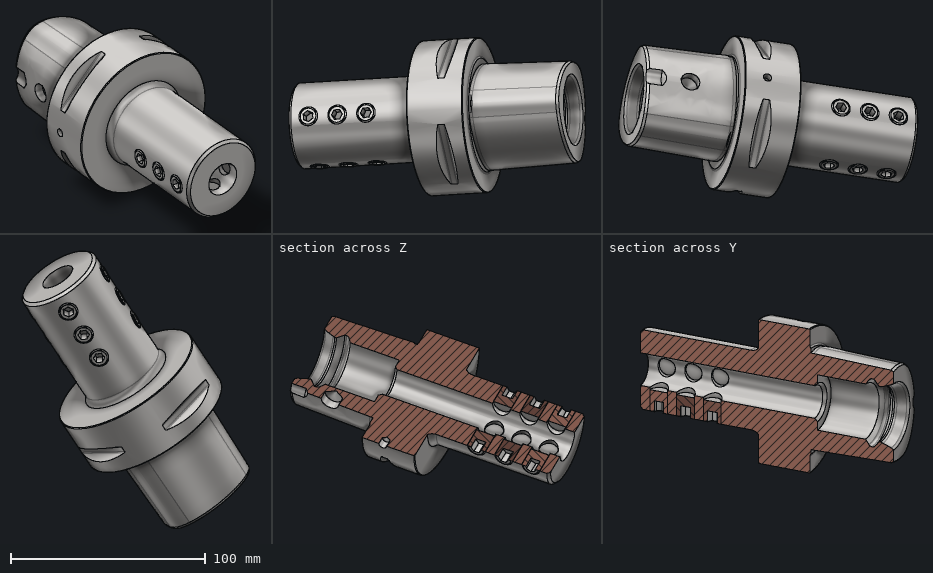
import cadquery as cq
import math

total_length = 146.0
shank_chamfer = 1.5
taper_end = 45.8
flange_start = 48.0
flange_end = 78.0

mean_radius = 27.5
lobe_height = 1.9
taper_slope = 1 / 40
shank_chamfer_depth = 0.7
lobe_half_angle = 26.0
points_per_face = 9

neck_radius = 28.9
neck_pad_height = 0.5
neck_fillet = 1.5

flange_radius = 40.0
flange_chamfer = 0.5
nose_radius = 22.2
nose_fillet = 5.4
nose_fillet_reach = 4.1
nose_chamfer = 1.5
through_bore_radius = 8.9
shank_bore_radius = 15.2
shank_bore_depth = 43.8
bore_step_chamfer = 1.6

mouth_radius = 18.4
mouth_chamfer_length = 1.3
mouth_cone_radius = 17.4
lip_radius = 15.6
lip_start = 6.1
lip_crest_radius = 15.2
lip_crest_start = 7.3
lip_end = 8.3
groove_radius = 18.7
groove_front = 11.4
groove_rear = 12.4
groove_corner = (14.2, 17.8)
groove_corner_mid = (13.6, 18.4)
groove_cone_end = 16.0

slot_count = 4
slot_x = 59.9
slot_floor_distance = 35.55
slot_floor_width = 3.5
slot_floor_fillet = 0.6
slot_wall_angle = 30.0

hole_tip_half_angle = 59.0
side_hole_x = 23.0
side_hole_radius = 4.89
side_hole_depth = 5.0
flange_hole_radius = 2.12
flange_hole_depth = 4.4
notch_radius = 5.8
notch_length = 8.2
notch_axis_y = -27.9
notch_tip_half_angle = 50.0

screw_radius = 5.0
screw_length = 12.0
screw_face_radius = 4.16
screw_chamfer_height = 0.5
hex_across_flats = 5.0
hex_depth = 6.0
last_screw_x = 135.3
screw_pitch = 15.4
screw_sides = (0, 90, 180)
hex_turns = (4, 3, 35)


def revolve_about_x(profile):
    """Turn a closed profile drawn in the XY plane round the X axis."""
    return profile.close().revolve(360, (0, 0, 0), (1, 0, 0))


def section_point(x, radius, angle):
    """Point of the lobed outline whose surface normal is at `angle` from +Y."""
    reach = radius + lobe_height * math.cos(3 * angle)
    slip = -3 * lobe_height * math.sin(3 * angle)
    y = reach * math.cos(angle) - slip * math.sin(angle)
    z = reach * math.sin(angle) + slip * math.cos(angle)
    return cq.Vector(x, y, z)


def section_face_edge(x, radius, start, end):
    """Smooth edge of the lobed outline between two normal angles given in degrees."""
    first = math.radians(start)
    last = math.radians(end)
    step = (last - first) / (points_per_face - 1)
    points = [section_point(x, radius, first + i * step) for i in range(points_per_face)]
    tangents = [cq.Vector(0, -math.sin(a), math.cos(a)) for a in (first, last)]
    return cq.Edge.makeSpline(points, tangents=tangents)


def lobed_section(x, radius):
    """Closed outline made of three lobe faces and the three flatter faces between them."""
    edges = []
    for crest in (0, 120, 240):
        lobe_end = crest + lobe_half_angle
        next_lobe = crest + 120 - lobe_half_angle
        edges.append(section_face_edge(x, radius, crest - lobe_half_angle, lobe_end))
        edges.append(section_face_edge(x, radius, lobe_end, next_lobe))
    return cq.Wire.assembleEdges(edges)


def lobed_solid(start, start_radius, end, end_radius):
    sections = [lobed_section(start, start_radius), lobed_section(end, end_radius)]
    return cq.Workplane(cq.Solid.makeLoft(sections, True))


def make_shank():
    small_radius = mean_radius - taper_slope * (taper_end - shank_chamfer)
    chamfer = lobed_solid(0, small_radius - shank_chamfer_depth, shank_chamfer, small_radius)
    taper = lobed_solid(shank_chamfer, small_radius, taper_end, mean_radius)
    return chamfer.union(taper)


def make_neck():
    """Straight lobed neck with its crests turned down, on a low round pad."""
    lobe_radius = mean_radius + lobe_height
    turned_start = flange_start - neck_fillet
    turned = revolve_about_x(
        cq.Workplane("XY")
        .moveTo(taper_end, 0)
        .lineTo(taper_end, lobe_radius)
        .lineTo(turned_start, neck_radius)
        .lineTo(flange_start, neck_radius)
        .lineTo(flange_start, 0)
    )
    neck = lobed_solid(taper_end, mean_radius, flange_start, mean_radius).intersect(turned)

    fillet_center_r = neck_radius + neck_fillet
    pad_face_angle = math.asin((neck_fillet - neck_pad_height) / neck_fillet)
    middle_angle = (pad_face_angle + math.pi / 2) / 2

    def fillet_point(angle):
        x = turned_start + neck_fillet * math.sin(angle)
        return (x, fillet_center_r - neck_fillet * math.cos(angle))

    rim = fillet_point(pad_face_angle)
    pad = revolve_about_x(
        cq.Workplane("XY")
        .moveTo(rim[0], 0)
        .lineTo(*rim)
        .threePointArc(fillet_point(middle_angle), fillet_point(math.pi / 2))
        .lineTo(flange_start, 0)
    )
    return neck.union(pad)


def make_flange_and_nose():
    fillet_end = flange_end + nose_fillet_reach
    sweep = math.asin(nose_fillet_reach / nose_fillet)

    def fillet_point(angle):
        return (
            fillet_end - nose_fillet * math.sin(angle),
            nose_radius + nose_fillet * (1 - math.cos(angle)),
        )

    rim = flange_radius - flange_chamfer
    return revolve_about_x(
        cq.Workplane("XY")
        .moveTo(flange_start, 0)
        .lineTo(flange_start, rim)
        .lineTo(flange_start + flange_chamfer, flange_radius)
        .lineTo(flange_end - flange_chamfer, flange_radius)
        .lineTo(flange_end, rim)
        .lineTo(*fillet_point(sweep))
        .threePointArc(fillet_point(sweep / 2), fillet_point(0))
        .lineTo(total_length - nose_chamfer, nose_radius)
        .lineTo(total_length, nose_radius - nose_chamfer)
        .lineTo(total_length, 0)
    )


def make_bore():
    """Everything removed along the axis, as one turned shape."""
    return revolve_about_x(
        cq.Workplane("XY")
        .moveTo(0, 0)
        .lineTo(0, mouth_radius)
        .lineTo(mouth_chamfer_length, mouth_cone_radius)
        .lineTo(lip_start, lip_radius)
        .lineTo(lip_crest_start, lip_crest_radius)
        .lineTo(lip_end, lip_crest_radius)
        .lineTo(groove_front, groove_radius)
        .lineTo(groove_rear, groove_radius)
        .threePointArc(groove_corner_mid, groove_corner)
        .lineTo(groove_cone_end, shank_bore_radius)
        .lineTo(shank_bore_depth, shank_bore_radius)
        .lineTo(shank_bore_depth, through_bore_radius + bore_step_chamfer)
        .lineTo(shank_bore_depth + bore_step_chamfer, through_bore_radius)
        .lineTo(total_length, through_bore_radius)
        .lineTo(total_length, 0)
    )


def make_slots():
    """Flat-floored slots with sloping walls, evenly spaced round the flange."""
    height = flange_radius - slot_floor_distance
    floor_half = slot_floor_width / 2
    top_half = floor_half + height * math.tan(math.radians(slot_wall_angle))
    slot = (
        cq.Workplane("XZ")
        .moveTo(slot_x - floor_half, slot_floor_distance)
        .lineTo(slot_x - top_half, flange_radius)
        .lineTo(slot_x + top_half, flange_radius)
        .lineTo(slot_x + floor_half, slot_floor_distance)
        .close()
        .extrude(flange_radius, both=True)
        .edges("|Y and <Z")
        .fillet(slot_floor_fillet)
    )
    spacing = 360 / slot_count
    slots = cq.Workplane()
    for i in range(slot_count):
        slots = slots.add(slot.rotate((0, 0, 0), (1, 0, 0), (i + 0.5) * spacing))
    return slots.combine()


def drill(radius, depth, tip_half_angle):
    """Drill shape with a conical tip, entering along +X from the origin."""
    tip = depth + radius / math.tan(math.radians(tip_half_angle))
    return revolve_about_x(
        cq.Workplane("XY")
        .lineTo(0, radius)
        .lineTo(depth, radius)
        .lineTo(tip, 0)
    )


def side_drill(x, surface_radius, radius, depth):
    """Radial drilling from the -Y side; it starts one radius outside so that it clears the surface."""
    tool = drill(radius, depth + radius, hole_tip_half_angle).rotate((0, 0, 0), (0, 0, 1), 90)
    return tool.translate((x, -surface_radius - radius, 0))


def on_nose(shape, x, side):
    """Move a shape built at the -Y crest of the nose to a station and a side."""
    return shape.translate((x, 0, 0)).rotate((0, 0, 0), (1, 0, 0), side)


def screw_blank(length):
    """Chamfered screw without its socket, its face flush with the crest of the nose."""
    return (
        cq.Workplane("XY")
        .lineTo(screw_face_radius, 0)
        .lineTo(screw_radius, screw_chamfer_height)
        .lineTo(screw_radius, length)
        .lineTo(0, length)
        .close()
        .revolve(360, (0, 0, 0), (0, 1, 0))
        .translate((0, -nose_radius, 0))
    )


def make_screw(hex_turn):
    hex_across_corners = hex_across_flats / math.cos(math.pi / 6)
    socket = (
        cq.Workplane("XZ", origin=(0, -nose_radius, 0))
        .transformed(rotate=(0, 0, hex_turn))
        .polygon(6, hex_across_corners)
        .extrude(-hex_depth)
    )
    return screw_blank(screw_length).cut(socket)


screw_stations = [last_screw_x - screw_pitch * i for i in (2, 1, 0)]

housing = make_shank().union(make_neck()).union(make_flange_and_nose())
housing = housing.cut(make_bore()).cut(make_slots())

shank_flat_radius = mean_radius - lobe_height - taper_slope * (taper_end - side_hole_x)
housing = housing.cut(side_drill(side_hole_x, shank_flat_radius, side_hole_radius, side_hole_depth))
housing = housing.cut(side_drill(slot_x, flange_radius, flange_hole_radius, flange_hole_depth))
notch = drill(notch_radius, notch_length, notch_tip_half_angle)
housing = housing.cut(notch.translate((0, notch_axis_y, 0)))

for side in screw_sides:
    for x in screw_stations:
        housing = housing.cut(on_nose(screw_blank(nose_radius), x, side))

screws = []
for side in screw_sides:
    for x, hex_turn in zip(screw_stations, hex_turns):
        screws.append(on_nose(make_screw(hex_turn), x, side).val())

result = cq.Compound.makeCompound([housing.val(), *screws])